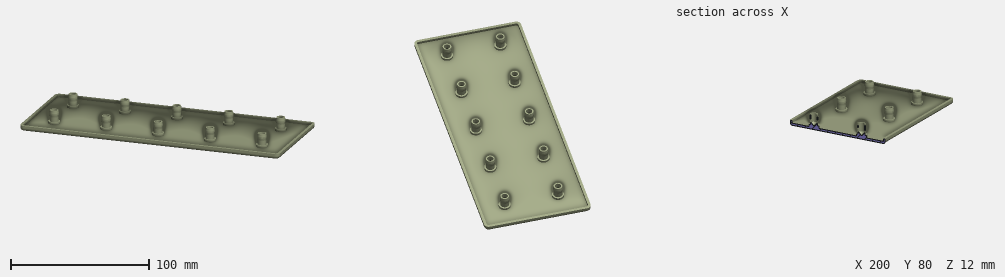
import math

import cadquery as cq

length = 200.0
width = 80.0
tray_height = 4.0
floor_thickness = 2.0
rim_width = 2.0
corner_radius = 3.5
lower_edge_radius = 2.25

pin_columns = 5
pin_rows = 2
pin_pitch = 40.0

flange_diameter = 8.7
stem_diameter = 6.4
barb_diameter = 6.9
tip_diameter = 6.3
bore_diameter = 4.5
bore_tip_angle = 90.0

flange_height = 1.7
bore_tip_height = 1.0

stem_top = 7.1
barb_bottom = 8.8
barb_top = 9.95
overall_height = 12.0


def make_tray():
    """Shallow tray with rounded corners and a rounded lower edge."""
    tray = (
        cq.Workplane("XY")
        .rect(length, width)
        .extrude(tray_height)
        .edges("|Z")
        .fillet(corner_radius)
        .faces("<Z")
        .edges()
        .fillet(lower_edge_radius)
    )
    pocket = (
        cq.Workplane("XY", origin=(0, 0, floor_thickness))
        .rect(length - 2 * rim_width, width - 2 * rim_width)
        .extrude(tray_height - floor_thickness)
        .edges("|Z")
        .fillet(corner_radius - rim_width)
    )
    return tray.cut(pocket)


def make_pin():
    """Flanged, barbed pin about Z; its blind bore ends in a cone above the tray floor."""
    flange_top = floor_thickness + flange_height
    bore_radius = bore_diameter / 2
    bore_tip = floor_thickness + bore_tip_height
    bore_tip_depth = bore_radius / math.tan(math.radians(bore_tip_angle / 2))
    return (
        cq.Workplane("XZ")
        .moveTo(0, floor_thickness)
        .lineTo(flange_diameter / 2, floor_thickness)
        .lineTo(flange_diameter / 2, flange_top)
        .lineTo(stem_diameter / 2, flange_top)
        .lineTo(stem_diameter / 2, stem_top)
        .lineTo(barb_diameter / 2, barb_bottom)
        .lineTo(barb_diameter / 2, barb_top)
        .lineTo(tip_diameter / 2, overall_height)
        .lineTo(bore_radius, overall_height)
        .lineTo(bore_radius, bore_tip + bore_tip_depth)
        .lineTo(0, bore_tip)
        .close()
        .revolve(360, (0, 0, 0), (0, 1, 0))
    )


def make_part():
    """Tray with the grid of pins standing on its floor."""
    part = make_tray()
    pin = make_pin()
    for column in range(pin_columns):
        for row in range(pin_rows):
            x = (column - (pin_columns - 1) / 2) * pin_pitch
            y = (row - (pin_rows - 1) / 2) * pin_pitch
            part = part.union(pin.translate((x, y, 0)))
    return part


result = make_part()